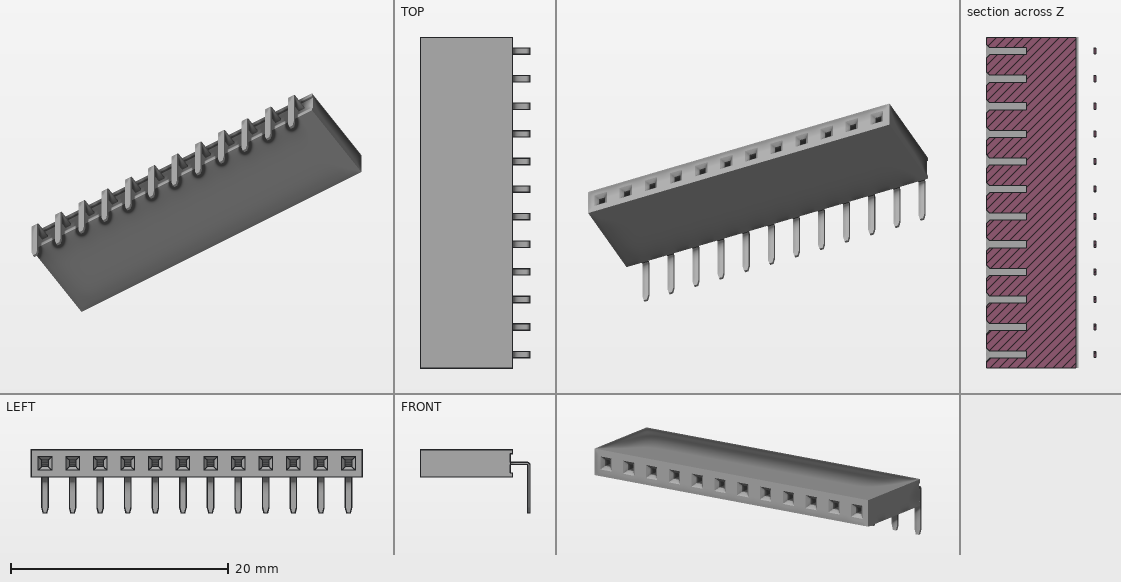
import cadquery as cq

pin_count = 12
length = 30.48
pitch = length / pin_count
depth = 8.5
height = pitch
lip_height = 0.4
rebate_depth = 0.2

entry_size = 1.25
throat_size = 0.6
funnel_depth = 0.3
bore_depth = 1.22
slot_height = 0.27
slot_depth = 3.65

overall_depth = 10.12
overall_height = 5.85
pin_width = 0.6
pin_thickness = 0.25
pin_embed = 0.15
bend_radius = 0.35
tip_width = 0.35
tip_length = 0.52

front_x = -overall_depth / 2
pin_outer_x = overall_depth / 2
rear_x = front_x + depth
rebate_x = rear_x - rebate_depth
tip_z = height / 2 - overall_height
shoulder_z = tip_z + tip_length
pin_positions = [(i - (pin_count - 1) / 2) * pitch for i in range(pin_count)]


def make_housing():
    """Plain block with a shallow full-length rebate in the rear face."""
    block = cq.Workplane("XY").box(depth, length, height).translate((front_x + depth / 2, 0, 0))
    rebate = cq.Workplane("XY").box(2 * rebate_depth, length, height - 2 * lip_height)
    return block.cut(rebate.translate((rear_x, 0, 0)))


def make_socket(y):
    """Square funnel and bore, ending in the narrow slot between two contact leaves."""
    face = cq.Workplane("YZ", origin=(front_x, y, 0))
    funnel = (
        face.rect(entry_size, entry_size)
        .workplane(offset=funnel_depth)
        .rect(throat_size, throat_size)
        .loft()
    )
    bore = face.rect(throat_size, throat_size).extrude(bore_depth)
    slot = face.rect(throat_size, slot_height).extrude(slot_depth)
    return funnel.union(bore).union(slot)


def make_pin(y):
    """Flat strip bent down at a right angle, narrowing to a tapered tip."""
    half_thickness = pin_thickness / 2
    inner_x = pin_outer_x - pin_thickness
    root_x = rebate_x - pin_embed
    strip = (
        cq.Workplane("XZ", origin=(0, y + pin_width / 2, 0))
        .moveTo(root_x, half_thickness)
        .lineTo(pin_outer_x - bend_radius, half_thickness)
        .radiusArc((pin_outer_x, half_thickness - bend_radius), bend_radius)
        .lineTo(pin_outer_x, shoulder_z)
        .lineTo(inner_x, shoulder_z)
        .lineTo(inner_x, -half_thickness)
        .lineTo(root_x, -half_thickness)
        .close()
        .extrude(pin_width)
    )
    tip = (
        cq.Workplane("YZ", origin=(inner_x, y, 0))
        .moveTo(-pin_width / 2, shoulder_z)
        .lineTo(-tip_width / 2, tip_z)
        .lineTo(tip_width / 2, tip_z)
        .lineTo(pin_width / 2, shoulder_z)
        .close()
        .extrude(pin_thickness)
    )
    return strip.union(tip)


result = make_housing()
for pin_y in pin_positions:
    result = result.cut(make_socket(pin_y)).union(make_pin(pin_y))